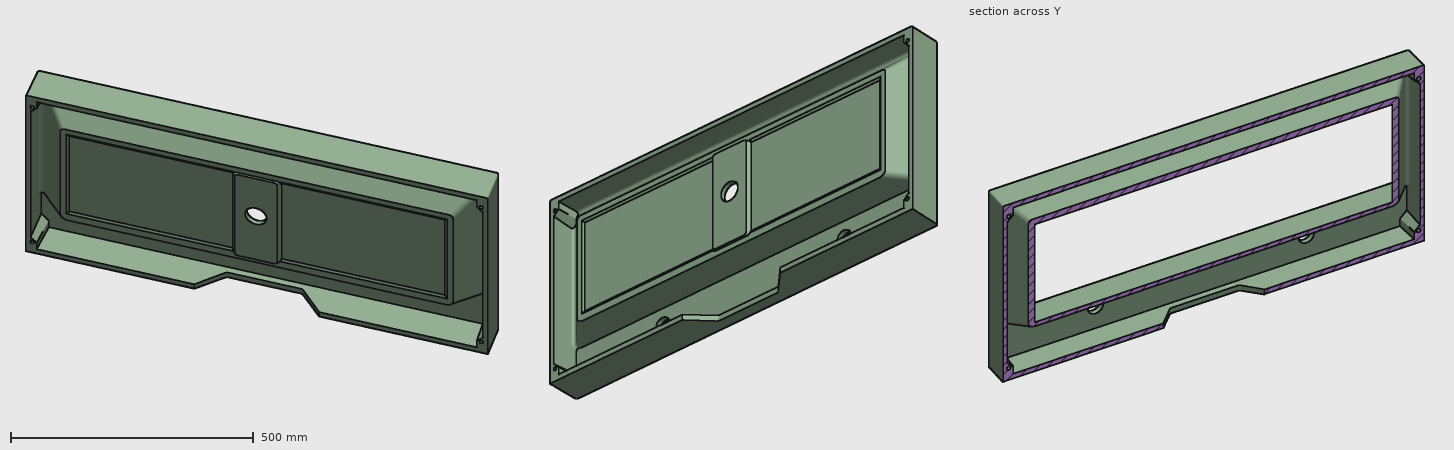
import cadquery as cq
import math

LENGTH = 1000
HEIGHT = 450
BODY_DEPTH = 81.0
BACK_ROUND = 6.0
CORNER_ROUND = 4.0
END_DRAFT = 1

SIDE_WALL = 11.0
TOP_WALL = 13.0
BOTTOM_WALL = 13.0
CAVITY_DEPTH = 68.0
CAVITY_DRAFT = 1.2
VALLEY_ROUND = 6.0

PANEL_HALF_LENGTH = 425.0
PANEL_TOP = 152.0
PANEL_BOTTOM = -109.0
SLOPE_ANGLE = 43
BOWL_FRONT_ANGLE = 5
BOWL_CORNER_ROUND = 14.0
BOWL_WALL = 12.0
BOWL_FLOOR_Y = 6.0

POCKET_HALF_LENGTH = 412.0
POCKET_TOP = 138.0
POCKET_BOTTOM = -91.0
POCKET_DEPTH = 3.0
POCKET_WALL_RUN = 6.0
PAD_HALF_LENGTH = 46.0
PAD_FOOT_HALF_LENGTH = 51.0
PAD_CORNER_ROUND = 6.0
POCKET_INNER_X = 53.0
PAD_BOTTOM = -95.0
PAD_RISE = 6.0
DRAIN_DIAMETER = 46.0
DRAIN_Z = 30

TAP_X = 250
TAP_Z = -155.0
TAP_DIAMETER = 36.0

BOSS_X = 476.0
SCREW_X = 486.0
SCREW_Z = 194.0
SCREW_DIAMETER = 8.0
SCREW_DEPTH = 30
BOSS_FLARE = 15.0
BOSS_DRAFT = 4

NOTCH_HALF_LENGTH = 135.0
NOTCH_DEPTH = 53.0
NOTCH_ROUND = 10


def rectangle(y, half_length, bottom, top):
    """Corner points of a rectangle at depth y, centred on x = 0."""
    corners = [(-half_length, bottom), (half_length, bottom), (half_length, top), (-half_length, top)]
    return [cq.Vector(x, y, z) for x, z in corners]


def frustum(near, far):
    """Flat-sided solid between two (y, half_length, bottom, top) rectangles."""
    near_corners = rectangle(*near)
    far_corners = rectangle(*far)
    outlines = [near_corners, far_corners]
    for i in range(4):
        outlines.append([near_corners[i - 1], near_corners[i], far_corners[i], far_corners[i - 1]])
    faces = [cq.Face.makeFromWires(cq.Wire.makePolygon(points, close=True)) for points in outlines]
    return cq.Workplane(cq.Solid.makeSolid(cq.Shell.makeShell(faces)).fix())


def rod(x, z, diameter, start, end):
    """Cylinder along Y."""
    return cq.Workplane("XZ", origin=(x, start, z)).circle(diameter / 2).extrude(start - end)


def bowl_section(y, wall=0.0):
    """Bowl outline at depth y, moved inward so that the sloped walls are `wall` thick."""
    slope = math.radians(SLOPE_ANGLE)
    front = math.radians(BOWL_FRONT_ANGLE)
    spread = y * math.tan(slope) - wall / math.cos(slope)
    front_spread = y * math.tan(front) - wall / math.cos(front)
    return (y, PANEL_HALF_LENGTH + spread, PANEL_BOTTOM - front_spread, PANEL_TOP + spread)


def make_body():
    """Outer block; its two ends lean inward towards the finished face."""
    back_half = LENGTH / 2 - BODY_DEPTH * math.tan(math.radians(END_DRAFT))
    body = frustum(
        (0, LENGTH / 2, -HEIGHT / 2, HEIGHT / 2),
        (BODY_DEPTH, back_half, -HEIGHT / 2, HEIGHT / 2),
    )
    body = body.faces(">Z").edges("not #Y").fillet(CORNER_ROUND)
    return body.faces(">Y").edges("not <Z").fillet(BACK_ROUND)


def make_boss(side, end):
    """Corner block with a sloped flare to the side wall; side and end are +1 or -1."""
    outline = [
        (LENGTH / 2, HEIGHT / 2),
        (BOSS_X, HEIGHT / 2),
        (BOSS_X, SCREW_Z),
        (BOSS_X + BOSS_FLARE, SCREW_Z - BOSS_FLARE),
        (LENGTH / 2, SCREW_Z - BOSS_FLARE),
    ]
    points = [(side * x, end * z) for x, z in outline]
    return cq.Workplane("XZ").polyline(points).close().extrude(-CAVITY_DEPTH, taper=-BOSS_DRAFT)


def make_cavity():
    """Space removed from the open side: all around the bowl and the screw bosses."""
    draft = CAVITY_DEPTH * math.tan(math.radians(CAVITY_DRAFT))
    half = LENGTH / 2 - SIDE_WALL
    bottom = BOTTOM_WALL - HEIGHT / 2
    top = HEIGHT / 2 - TOP_WALL
    cavity = frustum(
        (0, half, bottom, top),
        (CAVITY_DEPTH, half - draft, bottom + draft, top - draft),
    )
    bowl = frustum(bowl_section(0), bowl_section(BODY_DEPTH))
    bowl = bowl.edges("not(#Y)").fillet(BOWL_CORNER_ROUND)
    cavity = cavity.cut(bowl)
    for side in (-1, 1):
        for end in (-1, 1):
            cavity = cavity.cut(make_boss(side, end))
    inside = cavity.edges(cq.selectors.BoxSelector((-LENGTH, 10, 0), (LENGTH, BODY_DEPTH, HEIGHT)))
    valleys = [edge for edge in inside.vals() if edge.Length() > HEIGHT / 2]
    return cavity.newObject(valleys).fillet(VALLEY_ROUND)


def make_pad():
    """Raised drain pad with rounded corners; only its two end faces are sloped."""
    face = (-PAD_RISE, PAD_HALF_LENGTH, PAD_BOTTOM, POCKET_TOP)
    foot = (0, PAD_FOOT_HALF_LENGTH, PAD_BOTTOM, POCKET_TOP)
    return frustum(face, foot).edges("not(#Y)").fillet(PAD_CORNER_ROUND)


def make_pockets():
    """Two shallow pockets with sloped walls, separated by the strip under the pad."""
    floor = POCKET_DEPTH
    pockets = frustum(
        (0, POCKET_HALF_LENGTH, POCKET_BOTTOM, POCKET_TOP),
        (
            floor,
            POCKET_HALF_LENGTH - POCKET_WALL_RUN,
            POCKET_BOTTOM + POCKET_WALL_RUN,
            POCKET_TOP - POCKET_WALL_RUN,
        ),
    )
    strip = frustum(
        (0, PAD_FOOT_HALF_LENGTH, POCKET_BOTTOM, POCKET_TOP),
        (floor, POCKET_INNER_X, POCKET_BOTTOM, POCKET_TOP),
    )
    return pockets.cut(strip)


def make_notch():
    bottom_half = NOTCH_HALF_LENGTH - NOTCH_DEPTH
    notch = (
        cq.Workplane("XY", origin=(0, 0, -HEIGHT / 2))
        .polyline(
            [
                (-NOTCH_HALF_LENGTH, 0),
                (-bottom_half, NOTCH_DEPTH),
                (bottom_half, NOTCH_DEPTH),
                (NOTCH_HALF_LENGTH, 0),
            ]
        )
        .close()
        .extrude(2 * BOTTOM_WALL)
    )
    return notch.edges("|Z and >Y").fillet(NOTCH_ROUND)


def make_basin():
    """Recess in the finished face that leaves the bowl as a thin shell."""
    return frustum(bowl_section(BOWL_FLOOR_Y, BOWL_WALL), bowl_section(BODY_DEPTH, BOWL_WALL))


def drill_holes(part):
    """Drain hole, two tap holes and four blind screw holes."""
    part = part.cut(rod(0, DRAIN_Z, DRAIN_DIAMETER, -PAD_RISE, BODY_DEPTH))
    for side in (-1, 1):
        part = part.cut(rod(side * TAP_X, TAP_Z, TAP_DIAMETER, 0, BODY_DEPTH))
        for end in (-1, 1):
            part = part.cut(rod(side * SCREW_X, end * SCREW_Z, SCREW_DIAMETER, 0, SCREW_DEPTH))
    return part


shell = make_body().cut(make_cavity()).cut(make_basin()).cut(make_pockets())
result = drill_holes(shell.union(make_pad()).cut(make_notch()))